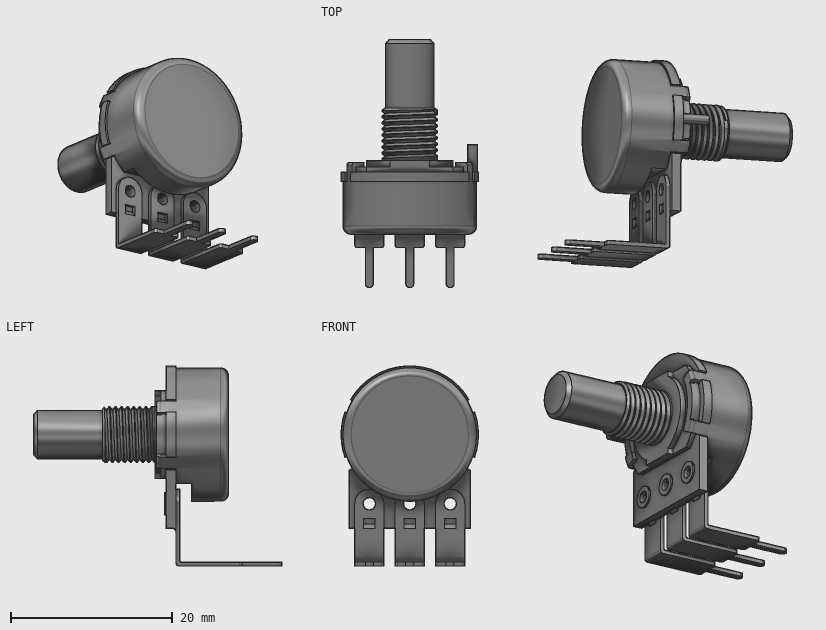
import cadquery as cq


SHAFT_RADIUS = 3.0
SHAFT_LENGTH = 15.0
SHAFT_CHAMFER = 0.5
BUSHING_RADIUS = 3.45
BUSHING_LENGTH = 6.5
BUSHING_CHAMFER = 0.3
THREAD_PITCH = 0.75
THREAD_ROOT_RADIUS = 3.06
GROOVE_START = 0.18
GROOVE_TURNS = 7.95
CREST_WIDTH = 0.07
GROOVE_OVERSHOOT = 0.02

PLATE_FRONT = -0.75
TAB_FRONT = -0.2
SUBSTRATE_FRONT = -1.4
SUBSTRATE_THICKNESS = 1.2
SUBSTRATE_BACK = SUBSTRATE_FRONT - SUBSTRATE_THICKNESS
CAN_BACK = -9.1

BOSS_RADIUS = 5.35
BOSS_KEY_WIDTH = 4.9
PLATE_RADIUS = 7.65
PLATE_FLAT = 5.45
SIDE_PAD_WIDTH = 4.8

CAN_RADIUS = 8.25
CAN_FILLET = 1.0
RELIEF_TOP = -6.05
RELIEF_BACK = -4.55

TAB_ANGLE = 24.9
TAB_WIDTH = 1.55
TAB_THICKNESS = TAB_FRONT - PLATE_FRONT
TAB_INNER_RADIUS = 6.6
TAB_FOLD_RADIUS = 0.4

SUBSTRATE_RADIUS = 8.5
SUBSTRATE_WIDTH = 15.0
SUBSTRATE_BOTTOM = -11.6
SHOULDER_Z = -4.35
TAB_CLEARANCE = 0.05

PEG_RADIUS = 0.625
PEG_X = 7.78
PEG_TIP = 2.0

TERMINAL_PITCH = 5.0
TERMINAL_WIDTH = 3.6
TERMINAL_THICKNESS = 0.5
TERMINAL_BOTTOM = -16.25
TERMINAL_BACK = SUBSTRATE_BACK - TERMINAL_THICKNESS
BEND_INNER_RADIUS = 0.15
BEND_OUTER_RADIUS = 0.35
SHOULDER_END = -10.75
SHOULDER_CORNER_RADIUS = 0.3
PIN_WIDTH = 1.0
PIN_END = -15.7
RIVET_Z = -8.55
RIVET_RADIUS = 2.75 / 2
RIVET_HEIGHT = 0.2
EYELET_RADIUS = 1.5 / 2

TANG_WIDTH = 1.45
TANG_SLOT_TOP = -10.4
TANG_SLOT_BOTTOM = -11.6
TANG_RISE = 0.55
TANG_DROP = 0.35
TANG_REACH = 0.25


def cylinder(radius, y_start, y_end, x=0.0, z=0.0):
    """Solid cylinder along Y."""
    axis_start = cq.Vector(x, y_start, z)
    return cq.Workplane(cq.Solid.makeCylinder(radius, y_end - y_start, axis_start, cq.Vector(0, 1, 0)))


def block(x_range, y_range, z_range):
    """Axis-aligned box given by its limits."""
    sizes = [high - low for low, high in (x_range, y_range, z_range)]
    corner = (x_range[0], y_range[0], z_range[0])
    return cq.Workplane("XY").box(*sizes, centered=False).translate(corner)


def centered_block(width, y_range, z_range):
    """Axis-aligned box that is symmetric about X = 0."""
    return block((-width / 2, width / 2), y_range, z_range)


def make_shaft():
    shaft = cylinder(SHAFT_RADIUS, SUBSTRATE_FRONT, SHAFT_LENGTH)
    return shaft.faces(">Y").chamfer(SHAFT_CHAMFER)


def make_bushing():
    """Bushing with a right-hand V thread, built along Z and turned onto Y.

    The sleeve starts inside the mounting plate so that the whole groove runs within its length.
    """
    sleeve = cq.Workplane("XY", origin=(0, 0, PLATE_FRONT)).circle(BUSHING_RADIUS)
    sleeve = sleeve.extrude(BUSHING_LENGTH - PLATE_FRONT).faces(">Z").chamfer(BUSHING_CHAMFER)
    mouth_radius = BUSHING_RADIUS + GROOVE_OVERSHOOT
    half_mouth = (THREAD_PITCH - CREST_WIDTH) / 2
    helix = cq.Wire.makeHelix(
        THREAD_PITCH, GROOVE_TURNS * THREAD_PITCH, THREAD_ROOT_RADIUS, cq.Vector(0, 0, GROOVE_START)
    )
    groove = (
        cq.Workplane("XZ")
        .moveTo(THREAD_ROOT_RADIUS, GROOVE_START)
        .lineTo(mouth_radius, GROOVE_START - half_mouth)
        .lineTo(mouth_radius, GROOVE_START + half_mouth)
        .close()
        .sweep(cq.Workplane(helix), isFrenet=True)
    )
    return sleeve.cut(groove).rotate((0, 0, 0), (1, 0, 0), -90)


def make_mounting_plate():
    """Flatted plate with a keyed round boss and two raised pads at its sides."""
    boss = cylinder(BOSS_RADIUS, PLATE_FRONT, 0)
    key = centered_block(BOSS_KEY_WIDTH, (PLATE_FRONT, 0), (-PLATE_FLAT, PLATE_FLAT))
    disc = cylinder(PLATE_RADIUS, SUBSTRATE_FRONT, PLATE_FRONT)
    flats = centered_block(2 * PLATE_RADIUS, (SUBSTRATE_FRONT, PLATE_FRONT), (-PLATE_FLAT, PLATE_FLAT))
    pad_ring = cylinder(PLATE_RADIUS, PLATE_FRONT, TAB_FRONT)
    pad_ring = pad_ring.cut(cylinder(TAB_INNER_RADIUS, PLATE_FRONT, TAB_FRONT))
    pad_limits = centered_block(
        2 * PLATE_RADIUS, (PLATE_FRONT, TAB_FRONT), (-SIDE_PAD_WIDTH / 2, SIDE_PAD_WIDTH / 2)
    )
    return disc.intersect(flats).union(pad_ring.intersect(pad_limits)).union(boss).union(key)


def radial_strip(angle, width, y_range, inner_radius, outer_radius):
    """Straight-sided radial strip, turned about the shaft axis to the given angle."""
    strip = block((inner_radius, outer_radius), y_range, (-width / 2, width / 2))
    return strip.rotate((0, 0, 0), (0, 1, 0), -angle)


def tab_angles():
    return [TAB_ANGLE, -TAB_ANGLE, 180 - TAB_ANGLE, 180 + TAB_ANGLE]


def make_can():
    can = cylinder(CAN_RADIUS, CAN_BACK, SUBSTRATE_BACK).faces("<Y").fillet(CAN_FILLET)
    relief = centered_block(2 * CAN_RADIUS, (RELIEF_BACK, SUBSTRATE_BACK), (-CAN_RADIUS, RELIEF_TOP))
    can = can.cut(relief)
    folded_rim = cylinder(CAN_RADIUS, SUBSTRATE_BACK, TAB_FRONT).faces(">Y").fillet(TAB_FOLD_RADIUS)
    wall_inner = CAN_RADIUS - TAB_THICKNESS
    for angle in tab_angles():
        wall = radial_strip(angle, TAB_WIDTH, (SUBSTRATE_BACK, TAB_FRONT), wall_inner, SUBSTRATE_RADIUS)
        fold = radial_strip(angle, TAB_WIDTH, (PLATE_FRONT, TAB_FRONT), TAB_INNER_RADIUS, SUBSTRATE_RADIUS)
        can = can.union(wall.union(fold).intersect(folded_rim))
    return can


def make_substrate():
    y_range = (SUBSTRATE_BACK, SUBSTRATE_FRONT)
    disc = cylinder(SUBSTRATE_RADIUS, *y_range)
    disc = disc.intersect(centered_block(2 * SUBSTRATE_RADIUS, y_range, (SHOULDER_Z, SUBSTRATE_RADIUS)))
    gap_width = TAB_WIDTH + 2 * TAB_CLEARANCE
    board = disc.union(centered_block(SUBSTRATE_WIDTH, y_range, (SUBSTRATE_BOTTOM, SHOULDER_Z)))
    for angle in tab_angles():
        gap = radial_strip(angle, gap_width, y_range, CAN_RADIUS - TAB_THICKNESS, 2 * SUBSTRATE_RADIUS)
        board = board.cut(gap)
    return board


def make_terminal():
    """Bent terminal centred on X = 0, with its tang and rivet head."""
    half_width = TERMINAL_WIDTH / 2
    upright = centered_block(TERMINAL_WIDTH, (TERMINAL_BACK, SUBSTRATE_BACK), (TERMINAL_BOTTOM, RIVET_Z))
    foot_z = (TERMINAL_BOTTOM, TERMINAL_BOTTOM + TERMINAL_THICKNESS)
    foot = centered_block(TERMINAL_WIDTH, (SHOULDER_END, SUBSTRATE_BACK), foot_z)
    foot = foot.edges("|Z and <Y").fillet(SHOULDER_CORNER_RADIUS)
    pin_arc_start = PIN_END + PIN_WIDTH / 2
    pin = (
        cq.Workplane("XY", origin=(0, 0, TERMINAL_BOTTOM))
        .moveTo(-PIN_WIDTH / 2, SHOULDER_END)
        .lineTo(-PIN_WIDTH / 2, pin_arc_start)
        .threePointArc((0, PIN_END), (PIN_WIDTH / 2, pin_arc_start))
        .lineTo(PIN_WIDTH / 2, SHOULDER_END)
        .close()
        .extrude(TERMINAL_THICKNESS)
    )
    terminal = upright.union(foot)
    inner_bend = cq.selectors.NearestToPointSelector((0, TERMINAL_BACK, foot_z[1]))
    terminal = terminal.edges(inner_bend).fillet(BEND_INNER_RADIUS)
    outer_bend = cq.selectors.NearestToPointSelector((0, SUBSTRATE_BACK, TERMINAL_BOTTOM))
    terminal = terminal.edges(outer_bend).fillet(BEND_OUTER_RADIUS)
    terminal = terminal.union(pin).union(cylinder(half_width, TERMINAL_BACK, SUBSTRATE_BACK, z=RIVET_Z))
    slot_z = (TANG_SLOT_BOTTOM, TANG_SLOT_TOP)
    terminal = terminal.cut(centered_block(TANG_WIDTH, (TERMINAL_BACK, SUBSTRATE_BACK), slot_z))
    tang = (
        cq.Workplane("YZ")
        .polyline([
            (TERMINAL_BACK, TANG_SLOT_BOTTOM),
            (SUBSTRATE_BACK, TANG_SLOT_BOTTOM + TANG_RISE),
            (SUBSTRATE_BACK + TANG_REACH, TANG_SLOT_BOTTOM + TANG_RISE),
            (SUBSTRATE_BACK + TANG_REACH, TANG_SLOT_BOTTOM),
            (SUBSTRATE_BACK, TANG_SLOT_BOTTOM - TANG_DROP),
        ])
        .close()
        .extrude(TANG_WIDTH / 2, both=True)
    )
    rivet = cylinder(RIVET_RADIUS, SUBSTRATE_FRONT, SUBSTRATE_FRONT + RIVET_HEIGHT, z=RIVET_Z)
    return terminal.union(tang).union(rivet)


def make_part():
    part = make_substrate().union(make_can()).union(make_mounting_plate())
    part = part.union(cylinder(PEG_RADIUS, SUBSTRATE_FRONT, PEG_TIP, x=PEG_X))
    terminal = make_terminal()
    for index in (-1, 0, 1):
        x = index * TERMINAL_PITCH
        part = part.union(terminal.translate((x, 0, 0)))
        part = part.cut(cylinder(EYELET_RADIUS, RELIEF_BACK, 0, x=x, z=RIVET_Z))
    return part.union(make_shaft()).union(make_bushing())


result = make_part().solids()